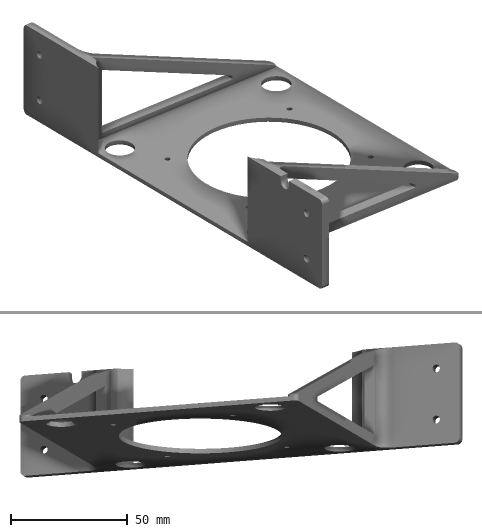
import cadquery as cq

span = 199.8
depth = 107.0
height = 44.0
corner_radius = 2.0

base_width = 127.0
plate_thickness = 2.0
bore_diameter = 70.0
bore_y = 53.5
large_hole_diameter = 13.0
large_hole_pitch_x = 95.1
large_hole_pitch_y = 87.1
small_hole_diameter = 2.5
small_hole_pitch_x = 54.3
small_hole_pitch_y = 68.0

wing_thickness = 3.8
wing_inner_x = 49.8
wing_hole_diameter = 3.4
wing_hole_x = 89.3
wing_hole_pitch_z = 22.4
notch_x = 75.0
notch_width = 5.5
notch_depth = 5.0
clearance_radius = 10.2

wall_thickness = 4.8
blend_radius = 5.5
wall_back_height = 2.5
window_back_y = 82.1
window_bottom = 4.8
rim_drop = 6.0

wall_outer_x = base_width / 2
wall_inner_x = wall_outer_x - wall_thickness
blend_end_y = wing_thickness + blend_radius
slope = (height - wall_back_height) / (depth - wing_thickness)


def box(x_min, x_max, y_min, y_max, z_max):
    """Box standing on Z = 0."""
    size = (x_max - x_min, y_max - y_min, z_max)
    return cq.Workplane("XY").box(*size, centered=False).translate((x_min, y_min, 0))


def top_edge_z(y):
    """Height of the sloping wall edge at a given Y."""
    return wall_back_height + slope * (depth - y)


def across_x(points):
    """Extrude a YZ outline over the full span."""
    return cq.Workplane("YZ").polyline(points).close().extrude(span / 2, both=True)


def make_plate():
    return box(-wall_outer_x, wall_outer_x, 0, depth, plate_thickness)


def make_wing():
    wing = box(wing_inner_x, span / 2, 0, wing_thickness, height)
    return wing.edges("|Y and >X").fillet(corner_radius)


def make_side_wall():
    """Wall with a concave blend into the wing, trimmed to a triangle and windowed."""
    wall = box(wall_inner_x, wall_outer_x, 0, depth, height)
    blend = (
        cq.Workplane("XY")
        .moveTo(wall_outer_x, wing_thickness)
        .lineTo(wall_outer_x + blend_radius, wing_thickness)
        .radiusArc((wall_outer_x, blend_end_y), blend_radius)
        .close()
        .extrude(height)
    )
    profile = across_x([
        (0, 0),
        (depth, 0),
        (depth, wall_back_height),
        (wing_thickness, height),
        (0, height),
    ])
    window = across_x([
        (blend_end_y, window_bottom),
        (window_back_y, window_bottom),
        (window_back_y, top_edge_z(window_back_y) - rim_drop),
        (blend_end_y, top_edge_z(blend_end_y) - rim_drop),
    ])
    return wall.union(blend).intersect(profile).cut(window)


def make_side():
    """Right-hand wing and wall, relieved around the nearby large plate hole."""
    hole_x = large_hole_pitch_x / 2
    hole_y = bore_y - large_hole_pitch_y / 2
    clearance = (
        cq.Workplane("XY", origin=(hole_x, hole_y, plate_thickness))
        .circle(clearance_radius)
        .extrude(height)
    )
    return make_wing().union(make_side_wall()).cut(clearance)


def plate_holes(pitch_x, pitch_y, diameter):
    """Four holes in a rectangle centred on the bore."""
    return (
        cq.Workplane("XY", origin=(0, bore_y, 0))
        .rect(pitch_x, pitch_y, forConstruction=True)
        .vertices()
        .circle(diameter / 2)
        .extrude(plate_thickness)
    )


def wing_holes():
    return (
        cq.Workplane("XZ", origin=(0, 0, height / 2))
        .rect(2 * wing_hole_x, wing_hole_pitch_z, forConstruction=True)
        .vertices()
        .circle(wing_hole_diameter / 2)
        .extrude(-wing_thickness)
    )


def wing_notch():
    """Round-bottomed notch, open at the top of the right-hand wing."""
    radius = notch_width / 2
    center_z = height - notch_depth + radius
    return (
        cq.Workplane("XZ")
        .moveTo(notch_x - radius, height)
        .lineTo(notch_x - radius, center_z)
        .threePointArc((notch_x, height - notch_depth), (notch_x + radius, center_z))
        .lineTo(notch_x + radius, height)
        .close()
        .extrude(-wing_thickness)
    )


side = make_side()
body = make_plate().union(side).union(side.mirror("YZ"))
body = body.edges("|Z and >Y").fillet(corner_radius)

bore = cq.Workplane("XY", origin=(0, bore_y, 0)).circle(bore_diameter / 2).extrude(plate_thickness)
body = body.cut(bore)
body = body.cut(plate_holes(large_hole_pitch_x, large_hole_pitch_y, large_hole_diameter))
body = body.cut(plate_holes(small_hole_pitch_x, small_hole_pitch_y, small_hole_diameter))
result = body.cut(wing_holes()).cut(wing_notch())